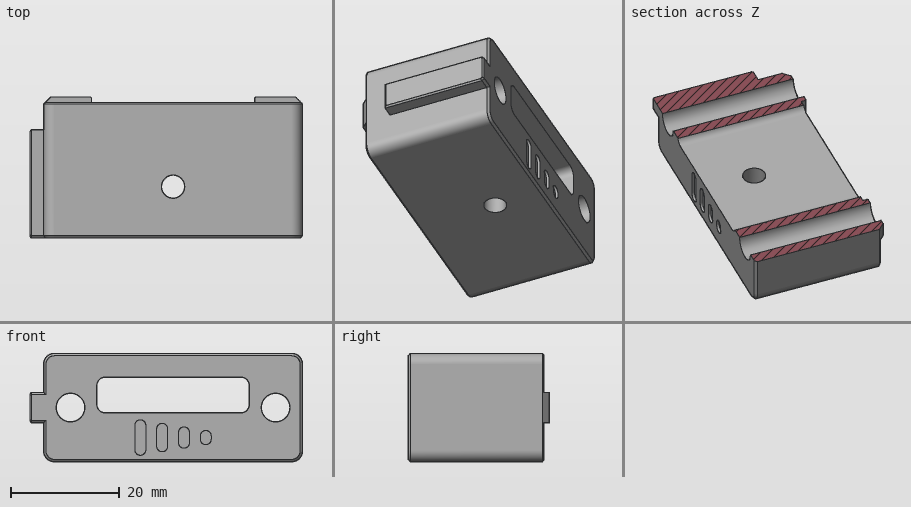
import cadquery as cq

total_length = 50.2
total_depth = 26.0
height = 20.0

tab_reach = 2.5
pad_thickness = 1.0
body_length = total_length - tab_reach
body_depth = total_depth - pad_thickness
corner_radius = 2.0
front_chamfer = 0.45
rear_chamfer = 0.3

key_width = 5.6
tab_depth = 20.0
tab_chamfer = 0.3
pad_length = 8.85
pad_slope = pad_thickness + rear_chamfer
pad_edge_chamfer = 0.2

window_length = 28.0
window_height = 6.55
window_radius = 1.5
window_z = 2.3
screw_hole_diameter = 5.2
screw_hole_spacing = 37.75
cross_hole_diameter = 4.2
cross_hole_y = 9.5

slot_width = 2.0
slot_pitch = 4.0
slot_z = -5.5
slot_recess = 0.5
slot_count = 4
shortest_slot = 2.6
slot_step = shortest_slot / 2


def front_plane():
    """Sketch plane on the front face; negative extrusion runs toward the rear."""
    return cq.Workplane("XZ")


def make_body():
    """Rounded block with its front outline, including the tab, bevelled."""
    block = (
        front_plane()
        .rect(body_length, height)
        .extrude(-body_depth)
        .edges("|Y")
        .fillet(corner_radius)
        .faces(">Y")
        .chamfer(rear_chamfer)
    )
    tab = (
        front_plane()
        .center(-(body_length + tab_reach) / 2, 0)
        .rect(tab_reach, key_width)
        .extrude(-tab_depth)
    )
    return (
        block.union(tab)
        .faces("<Y")
        .edges("not(<X)")
        .chamfer(front_chamfer)
        .faces("<X")
        .chamfer(tab_chamfer)
    )


def make_pad(side):
    """Rear pad with an outer slope in line with the rear bevel and a small bevel at its inner end."""
    outer_x = body_length / 2
    inner_x = outer_x - pad_length
    root_y = total_depth - pad_slope
    return (
        cq.Workplane("XY", origin=(0, 0, -key_width / 2))
        .polyline(
            [
                (side * inner_x, root_y),
                (side * outer_x, root_y),
                (side * (outer_x - pad_slope), total_depth),
                (side * (inner_x + pad_edge_chamfer), total_depth),
                (side * inner_x, total_depth - pad_edge_chamfer),
            ]
        )
        .close()
        .extrude(key_width)
    )


def window():
    """Rounded opening from front to rear."""
    return (
        front_plane()
        .center(0, window_z)
        .rect(window_length, window_height)
        .extrude(-total_depth)
        .edges("|Y")
        .fillet(window_radius)
    )


def screw_holes():
    """Pair of round holes from front to rear, through the pads."""
    return (
        front_plane()
        .pushPoints([(side * screw_hole_spacing / 2, 0) for side in (-1, 1)])
        .circle(screw_hole_diameter / 2)
        .extrude(-total_depth)
    )


def cross_hole():
    """Round hole from top to bottom."""
    return (
        cq.Workplane("XY", origin=(0, cross_hole_y, -height / 2))
        .circle(cross_hole_diameter / 2)
        .extrude(height)
    )


def marker_slot(index):
    """Shallow upright slot with round ends."""
    slot_x = (index - (slot_count - 1) / 2) * slot_pitch
    slot_length = shortest_slot + (slot_count - 1 - index) * slot_step
    return (
        front_plane()
        .center(slot_x, slot_z)
        .slot2D(slot_length, slot_width, 90)
        .extrude(-slot_recess)
    )


result = make_body()
for pad_side in (-1, 1):
    result = result.union(make_pad(pad_side))
result = result.cut(window()).cut(screw_holes()).cut(cross_hole())
for slot_index in range(slot_count):
    result = result.cut(marker_slot(slot_index))